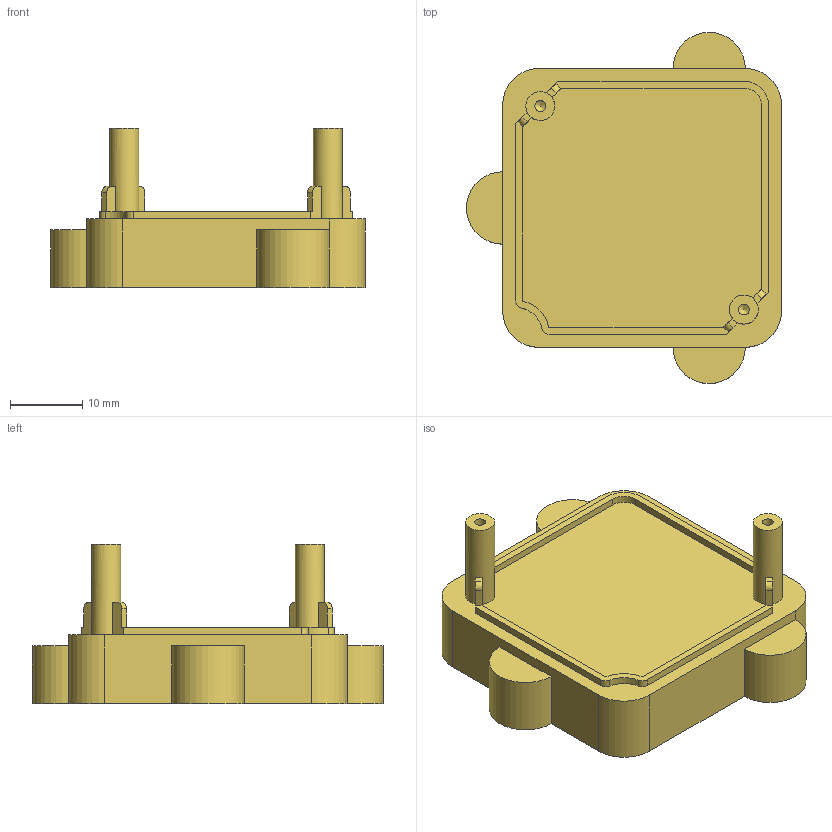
import cadquery as cq
import math

body_side = 38.52
body_height = 9.5
corner_radius = 5.0

lug_radius = 5.0
lug_height = 8.0
lug_offset = body_side / 2 - corner_radius - lug_radius

rim_side = 34.9
rim_width = 0.95
rim_height = 1.0
rim_corner_radius = corner_radius - (body_side - rim_side) / 2
relief_radius = 3.7
relief_end_radius = 1.0

post_offset = 14.06
post_diameter = 4.0
post_top = 22.0
hole_diameter = 1.5
hole_depth = 8.0
drill_tip_angle = 118.0

fin_half_length = 3.7
fin_width = rim_width
fin_top = 14.0
fin_angle = 45.0
fin_end_radius = 0.9
fin_outer_face = 0.68

post_positions = [(-post_offset, post_offset), (post_offset, -post_offset)]


def make_body():
    block = cq.Workplane("XY").rect(body_side, body_side).extrude(body_height)
    return block.edges("|Z").fillet(corner_radius)


def make_lugs():
    half = body_side / 2
    centers = [(-half, 0), (lug_offset, half), (lug_offset, -half)]
    return cq.Workplane("XY").pushPoints(centers).circle(lug_radius).extrude(lug_height)


def make_rim_plate(inset):
    """Plate under the rim outline, with the whole outline moved inwards by inset."""
    half = rim_side / 2 - inset
    cut = 2 * post_offset + math.sqrt(2) * (fin_outer_face - inset) - half
    center = -rim_side / 2
    radius = relief_radius + inset
    relief_end = center + math.sqrt(radius**2 - inset**2)
    relief_middle = center + radius / math.sqrt(2)
    round_radius = rim_corner_radius - inset
    round_start = half - round_radius
    round_middle = round_start + round_radius / math.sqrt(2)
    return (
        cq.Workplane("XY", origin=(0, 0, body_height))
        .moveTo(relief_end, -half)
        .lineTo(cut, -half)
        .lineTo(half, -cut)
        .lineTo(half, round_start)
        .threePointArc((round_middle, round_middle), (round_start, half))
        .lineTo(-cut, half)
        .lineTo(-half, cut)
        .lineTo(-half, relief_end)
        .threePointArc((relief_middle, relief_middle), (relief_end, -half))
        .close()
        .extrude(rim_height)
    )


def make_rim():
    outer = make_rim_plate(0).edges("|Z").edges("<(1, 1, 0)").fillet(relief_end_radius)
    return outer.cut(make_rim_plate(rim_width))


def make_fin(x, y):
    fin = (
        cq.Workplane("XY")
        .box(2 * fin_half_length, fin_width, fin_top - body_height, centered=(True, True, False))
        .faces(">Z")
        .edges("|Y")
        .fillet(fin_end_radius)
    )
    outward = (fin_outer_face - fin_width / 2) / math.sqrt(2)
    shift_x = math.copysign(outward, x)
    shift_y = math.copysign(outward, y)
    fin = fin.rotate((0, 0, 0), (0, 0, 1), fin_angle)
    return fin.translate((x + shift_x, y + shift_y, body_height))


def make_posts():
    return (
        cq.Workplane("XY", origin=(0, 0, body_height))
        .pushPoints(post_positions)
        .circle(post_diameter / 2)
        .extrude(post_top - body_height)
    )


def make_pilot_hole(x, y):
    radius = hole_diameter / 2
    tip_depth = radius / math.tan(math.radians(drill_tip_angle / 2))
    profile = [(0, 0), (radius, 0), (radius, -hole_depth), (0, -hole_depth - tip_depth)]
    hole = cq.Workplane("XZ").polyline(profile).close().revolve(360, (0, 0, 0), (0, 1, 0))
    return hole.translate((x, y, post_top))


result = make_body().union(make_lugs()).union(make_rim()).union(make_posts())
for post_x, post_y in post_positions:
    result = result.union(make_fin(post_x, post_y))
for post_x, post_y in post_positions:
    result = result.cut(make_pilot_hole(post_x, post_y))